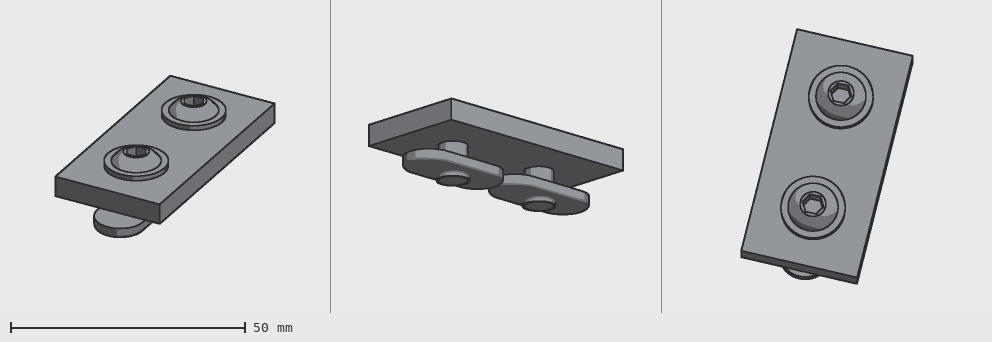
import cadquery as cq
import math

plate_width = 25.4
plate_length = 50.8
plate_thickness = 4.8
screw_spacing = plate_length / 2
screw_positions = (-screw_spacing / 2, screw_spacing / 2)

shank_diameter = 6.35
flange_diameter = 13.7
flange_thickness = 1.1
dome_base_radius = 5.35
dome_top_radius = 2.75
dome_height = 2.25
socket_across_flats = 4.0
socket_depth = dome_height + flange_thickness

nut_gap = 4.1
nut_width = 11.2
nut_length = screw_spacing
nut_thickness = 2.5
nut_edge_radius = 0.8
collar_diameter = 7.05
collar_height = 1.25
collar_fillet = 0.8

nut_top = -nut_gap
nut_bottom = nut_top - nut_thickness
collar_bottom = nut_bottom - collar_height
flange_top = plate_thickness + flange_thickness
head_top = flange_top + dome_height


def make_plate():
    """Flat rectangular plate with one close-fitting hole per screw."""
    return (
        cq.Workplane("XY")
        .box(plate_width, plate_length, plate_thickness, centered=(True, True, False))
        .faces(">Z")
        .workplane()
        .pushPoints([(0, y) for y in screw_positions])
        .hole(shank_diameter)
    )


def make_screw():
    """Revolved shank, flange and spherical dome, with a hexagonal socket."""
    centre_drop = (dome_base_radius**2 - dome_top_radius**2 - dome_height**2) / (2 * dome_height)
    sphere_radius = math.hypot(dome_base_radius, centre_drop)
    mid_height = dome_height / 2
    mid_radius = math.sqrt(sphere_radius**2 - (mid_height + centre_drop) ** 2)

    body = (
        cq.Workplane("XZ")
        .moveTo(0, collar_bottom)
        .lineTo(shank_diameter / 2, collar_bottom)
        .lineTo(shank_diameter / 2, plate_thickness)
        .lineTo(flange_diameter / 2, plate_thickness)
        .lineTo(flange_diameter / 2, flange_top)
        .lineTo(dome_base_radius, flange_top)
        .threePointArc((mid_radius, flange_top + mid_height), (dome_top_radius, head_top))
        .lineTo(0, head_top)
        .close()
        .revolve(360, (0, 0), (0, 1))
    )
    socket_across_corners = socket_across_flats / math.cos(math.pi / 6)
    socket = (
        cq.Workplane("XY", origin=(0, 0, head_top))
        .polygon(6, socket_across_corners)
        .extrude(-socket_depth)
    )
    return body.cut(socket)


def make_nut():
    """Round-ended nut with a filleted collar below and a through hole for the shank."""
    slab = (
        cq.Workplane("XY", origin=(0, 0, nut_bottom))
        .slot2D(nut_length, nut_width, 90)
        .extrude(nut_thickness)
        .faces("<Z")
        .edges()
        .fillet(nut_edge_radius)
    )
    collar_radius = collar_diameter / 2
    flare_radius = collar_radius + collar_fillet
    flare_bottom = nut_bottom - collar_fillet
    arc_offset = collar_fillet * math.sqrt(0.5)
    collar = (
        cq.Workplane("XZ")
        .moveTo(0, collar_bottom)
        .lineTo(collar_radius, collar_bottom)
        .lineTo(collar_radius, flare_bottom)
        .threePointArc(
            (flare_radius - arc_offset, flare_bottom + arc_offset),
            (flare_radius, nut_bottom),
        )
        .lineTo(0, nut_bottom)
        .close()
        .revolve(360, (0, 0), (0, 1))
    )
    bore = (
        cq.Workplane("XY", origin=(0, 0, collar_bottom))
        .circle(shank_diameter / 2)
        .extrude(nut_top - collar_bottom)
    )
    return slab.union(collar).cut(bore)


plate = make_plate()
screws = []
nuts = []
for y in screw_positions:
    screws.append(make_screw().translate((0, y, 0)).val())
    nuts.append(make_nut().translate((0, y, 0)).val())

result = cq.Compound.makeCompound([plate.val(), *screws, *nuts])